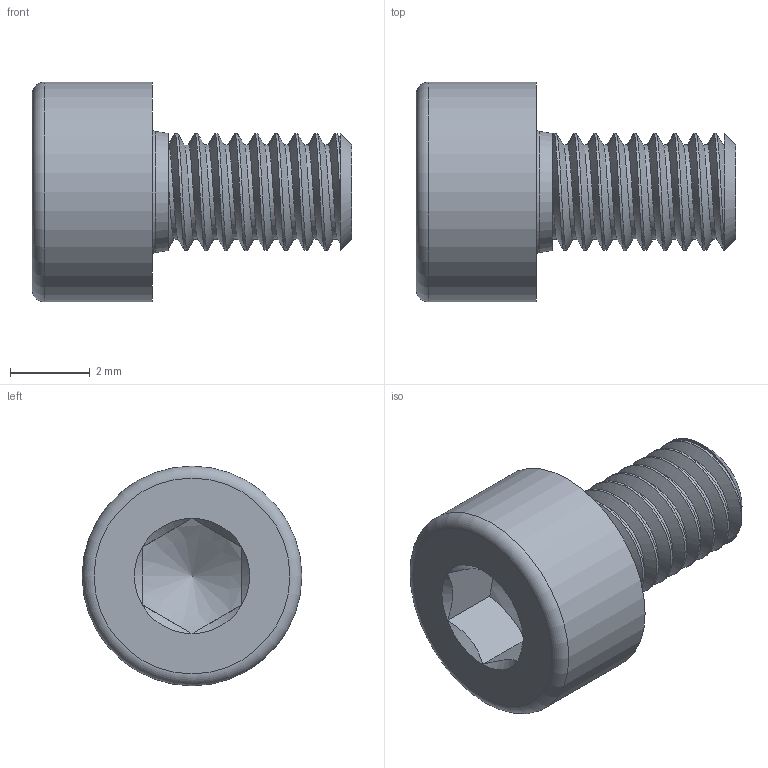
import cadquery as cq
import math


head_radius = 5.5 / 2
head_height = 3.0
head_edge_radius = 0.3

socket_across_flats = 2.5
socket_depth = 1.5
socket_tip_angle = 120.0
socket_entry_angle = 90.0
socket_corner_radius = socket_across_flats / math.sqrt(3)

screw_length = 8.0
shank_radius = 2.93 / 2
point_radius = 2.36 / 2
point_chamfer_length = shank_radius - point_radius
neck_end_x = 3.4
neck_base_radius = 1.53
neck_fillet_radius = 0.1

thread_pitch = 0.5
flank_half_angle = 30.0
root_radius = point_radius
crest_width = thread_pitch / 8
groove_center_x = 3.354
thread_end_x = screw_length - point_chamfer_length
groove_clearance = 0.05


def revolve_about_x(profile):
    """Revolve a closed (x, radius) profile around the X axis."""
    return profile.close().revolve(360, (0, 0, 0), (1, 0, 0))


def make_blank():
    """Rounded head, tapered neck with its fillet, plain shank and chamfered point."""
    profile = (
        cq.Workplane("XY")
        .lineTo(0, head_radius)
        .lineTo(head_height, head_radius)
        .lineTo(head_height, neck_base_radius)
        .lineTo(neck_end_x, shank_radius)
        .lineTo(thread_end_x, shank_radius)
        .lineTo(screw_length, point_radius)
        .lineTo(screw_length, 0)
    )
    blank = revolve_about_x(profile)
    blank = blank.faces("<X").edges().fillet(head_edge_radius)
    underside = cq.selectors.BoxSelector(
        (head_height - neck_fillet_radius, -head_radius, -head_radius),
        (head_height + neck_fillet_radius, head_radius, head_radius),
    )
    neck_corner = blank.edges(underside).edges(cq.selectors.RadiusNthSelector(0))
    return neck_corner.fillet(neck_fillet_radius)


def make_thread_groove():
    """Right-handed helical groove, trimmed square at the neck and at the point."""
    flank_slope = math.tan(math.radians(flank_half_angle))
    outer_radius = shank_radius + groove_clearance
    mouth_half_width = (thread_pitch - crest_width) / 2
    root_half_width = mouth_half_width - (shank_radius - root_radius) * flank_slope
    outer_half_width = mouth_half_width + groove_clearance * flank_slope

    start_x = groove_center_x - thread_pitch
    turns = math.ceil((thread_end_x - start_x) / thread_pitch) + 1
    helix = cq.Wire.makeHelix(thread_pitch, turns * thread_pitch, root_radius)
    section = cq.Workplane("XZ").polyline([
        (root_radius, -root_half_width),
        (outer_radius, -outer_half_width),
        (outer_radius, outer_half_width),
        (root_radius, root_half_width),
    ]).close()
    groove = section.sweep(cq.Workplane(obj=helix), isFrenet=True)
    groove = groove.rotate((0, 0, 0), (0, 1, 0), 90)
    groove = groove.rotate((0, 0, 0), (1, 0, 0), 180).translate((start_x, 0, 0))

    threaded_length = thread_end_x - neck_end_x
    limits = (
        cq.Workplane("YZ", origin=(neck_end_x, 0, 0))
        .circle(outer_radius + groove_clearance)
        .extrude(threaded_length)
    )
    return groove.intersect(limits)


def make_socket():
    """Hexagonal socket with two flats facing +/-Y, a conical floor and a conical entry."""
    tip_depth = socket_corner_radius / math.tan(math.radians(socket_tip_angle / 2))
    entry_depth = socket_corner_radius / math.tan(math.radians(socket_entry_angle / 2))
    hexagon = (
        cq.Workplane("YZ")
        .polygon(6, 2 * socket_corner_radius)
        .extrude(socket_depth + tip_depth)
        .rotate((0, 0, 0), (1, 0, 0), 90)
    )
    envelope = revolve_about_x(
        cq.Workplane("XY")
        .lineTo(0, socket_corner_radius)
        .lineTo(socket_depth, socket_corner_radius)
        .lineTo(socket_depth + tip_depth, 0)
    )
    entry = revolve_about_x(
        cq.Workplane("XY").lineTo(0, socket_corner_radius).lineTo(entry_depth, 0)
    )
    return hexagon.intersect(envelope).union(entry)


result = make_blank().cut(make_thread_groove()).cut(make_socket())